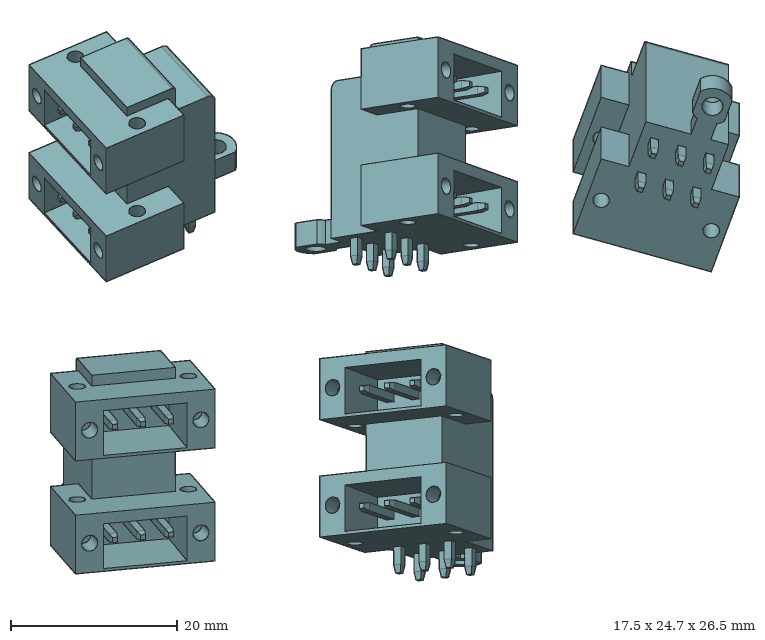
import cadquery as cq


TOWER_WIDTH = 10.47
TOWER_FRONT = 5.17
TOWER_BACK = 17.68
TOWER_TOP = 23.3
STEP_WALL = 12.08
STEP_TOP = 19.45
BACK_RADIUS = 1.0
STEP_RADIUS = 0.5

BLOCK_WIDTH = 17.5
BLOCK_DEPTH = 11.05
BLOCK_HEIGHT = 7.5
LEVEL_PITCH = 14.42
LEVEL_BASES = [0.0, LEVEL_PITCH]

RECESS_DEPTH = 8.0
RECESS_FLOOR = 0.37
RECESS_ROOF = 6.07
RECESS_TAPER = 0.15

HOLE_DIAMETER = 2.0
HOLE_SPACING = 13.95
HOLE_XS = [-HOLE_SPACING / 2, HOLE_SPACING / 2]
FRONT_HOLE_DEPTH = 3.0
UPRIGHT_HOLE_Y = 5.5

TAB_X = -1.75
TAB_HEIGHT = 3.02
TAB_WIDTH = 4.03
TAB_NECK_WIDTH = 2.5
TAB_EYE_Y = 22.18
TAB_EYE_DIAMETER = 2.52
TAB_END = 24.7

PINS_PER_LEVEL = 3
PIN_PITCH = 3.5
PIN_SIZE = 1.0
PIN_TIP_SIZE = 0.64
PIN_TIP_LENGTH = 1.0
PIN_HEIGHT = 3.52
PIN_FRONT = 1.0
PIN_BOTTOM = -3.2
FRONT_ROW_Y = 10.2
ROW_PITCH = 5.0


def make_tower():
    """Stepped block with a rounded back edge and a rounded step."""
    profile = (
        cq.Workplane("YZ")
        .moveTo(TOWER_FRONT, 0)
        .lineTo(TOWER_BACK, 0)
        .lineTo(TOWER_BACK, STEP_TOP - BACK_RADIUS)
        .radiusArc((TOWER_BACK - BACK_RADIUS, STEP_TOP), -BACK_RADIUS)
        .lineTo(STEP_WALL + STEP_RADIUS, STEP_TOP)
        .radiusArc((STEP_WALL, STEP_TOP + STEP_RADIUS), STEP_RADIUS)
        .lineTo(STEP_WALL, TOWER_TOP - STEP_RADIUS)
        .radiusArc((STEP_WALL - STEP_RADIUS, TOWER_TOP), -STEP_RADIUS)
        .lineTo(TOWER_FRONT, TOWER_TOP)
        .close()
    )
    return profile.extrude(TOWER_WIDTH / 2, both=True)


def make_block(base):
    """Plain socket block standing on the given height."""
    return cq.Workplane("XY", origin=(0, BLOCK_DEPTH / 2, base)).box(
        BLOCK_WIDTH, BLOCK_DEPTH, BLOCK_HEIGHT, centered=(True, True, False)
    )


def make_recess(base):
    """Tapered socket opening, as wide as the tower."""
    profile = cq.Workplane("YZ", origin=(0, 0, base)).polyline([
        (0, RECESS_FLOOR),
        (RECESS_DEPTH, RECESS_FLOOR + RECESS_TAPER),
        (RECESS_DEPTH, RECESS_ROOF - RECESS_TAPER),
        (0, RECESS_ROOF),
    ]).close()
    return profile.extrude(TOWER_WIDTH / 2, both=True)


def make_screw_holes(base):
    """Upright through holes and blind front holes of one block."""
    upright = (
        cq.Workplane("XY", origin=(0, UPRIGHT_HOLE_Y, base))
        .pushPoints([(x, 0) for x in HOLE_XS])
        .circle(HOLE_DIAMETER / 2)
        .extrude(BLOCK_HEIGHT)
    )
    front = (
        cq.Workplane("XZ", origin=(0, 0, base + BLOCK_HEIGHT / 2))
        .pushPoints([(x, 0) for x in HOLE_XS])
        .circle(HOLE_DIAMETER / 2)
        .extrude(-FRONT_HOLE_DEPTH)
    )
    return upright.union(front)


def make_tab():
    """Mounting eye: a round head with flattened sides on a narrow neck."""
    head_radius = TAB_END - TAB_EYE_Y
    head = (
        cq.Workplane("XY", origin=(TAB_X, TAB_EYE_Y, 0))
        .circle(head_radius)
        .extrude(TAB_HEIGHT)
    )
    flats = cq.Workplane("XY", origin=(TAB_X, TAB_EYE_Y, 0)).box(
        TAB_WIDTH, 2 * head_radius, TAB_HEIGHT, centered=(True, True, False)
    )
    neck_length = TAB_EYE_Y - BLOCK_DEPTH
    neck = cq.Workplane("XY", origin=(TAB_X, BLOCK_DEPTH + neck_length / 2, 0)).box(
        TAB_NECK_WIDTH, neck_length, TAB_HEIGHT, centered=(True, True, False)
    )
    eye = (
        cq.Workplane("XY", origin=(TAB_X, TAB_EYE_Y, 0))
        .circle(TAB_EYE_DIAMETER / 2)
        .extrude(TAB_HEIGHT)
    )
    return head.intersect(flats).union(neck).cut(eye)


def make_pin_leg(tip, outward, length):
    """Square bar with a tapered tip that points in the outward direction."""
    tip_plane = cq.Plane(origin=tip, xDir=(1, 0, 0), normal=outward)
    taper = (
        cq.Workplane(tip_plane)
        .rect(PIN_TIP_SIZE, PIN_TIP_SIZE)
        .workplane(offset=-PIN_TIP_LENGTH)
        .rect(PIN_SIZE, PIN_SIZE)
        .loft()
    )
    shank = (
        cq.Workplane(tip_plane)
        .workplane(offset=-PIN_TIP_LENGTH)
        .rect(PIN_SIZE, PIN_SIZE)
        .extrude(PIN_TIP_LENGTH - length)
    )
    return taper.union(shank)


def make_pin(x, contact_z, row_y):
    """Right-angle pin: a contact leg along Y and a solder leg along Z."""
    half_size = PIN_SIZE / 2
    contact_length = row_y + half_size - PIN_FRONT
    solder_length = contact_z + half_size - PIN_BOTTOM
    contact = make_pin_leg((x, PIN_FRONT, contact_z), (0, -1, 0), contact_length)
    solder = make_pin_leg((x, row_y, PIN_BOTTOM), (0, 0, -1), solder_length)
    return contact.union(solder)


pins = []
for level, level_base in enumerate(LEVEL_BASES):
    for column in range(PINS_PER_LEVEL):
        pin_x = (column - (PINS_PER_LEVEL - 1) / 2) * PIN_PITCH
        pins.append(make_pin(pin_x, level_base + PIN_HEIGHT, FRONT_ROW_Y + level * ROW_PITCH))

housing = make_tower().union(make_tab())
for level_base in LEVEL_BASES:
    housing = housing.union(make_block(level_base))
for level_base in LEVEL_BASES:
    housing = housing.cut(make_recess(level_base)).cut(make_screw_holes(level_base))
for pin in pins:
    housing = housing.cut(pin)

result = cq.Compound.makeCompound([housing.val(), *[pin.val() for pin in pins]])